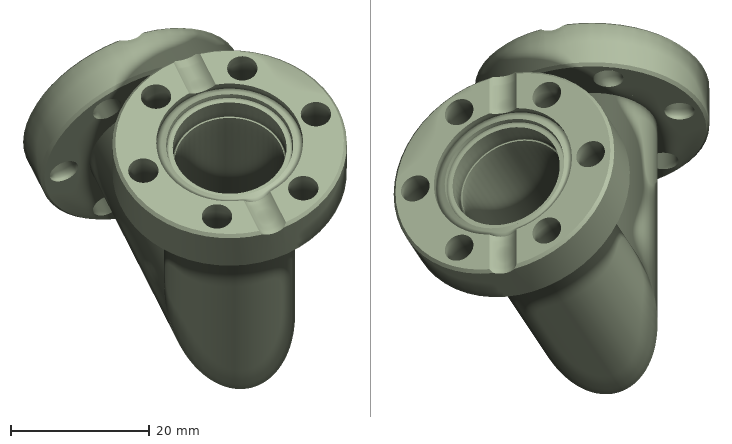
import cadquery as cq


OVERALL_LENGTH = 55.0
FLANGE_DIAMETER = 34.0
FLANGE_THICKNESS = 7.55
FACE_DISTANCE = OVERALL_LENGTH - FLANGE_DIAMETER / 2
FLANGE_BACK = FACE_DISTANCE - FLANGE_THICKNESS
EDGE_CHAMFER = 0.45

BOLT_COUNT = 6
BOLT_CIRCLE_DIAMETER = 27.0
BOLT_HOLE_DIAMETER = 4.4

GROOVE_WIDTH = 4.2
GROOVE_DEPTH = 0.95
GROOVE_RADIUS = ((GROOVE_WIDTH / 2) ** 2 + GROOVE_DEPTH ** 2) / (2 * GROOVE_DEPTH)

PIPE_OUTER_DIAMETER = 19.0
PIPE_BORE_DIAMETER = 16.0
PIPE_END = FACE_DISTANCE - 4.8

INSERT_DIAMETER = 21.3
INSERT_BORE_DIAMETER = 16.5
KNIFE_DIAMETER = 18.4
KNIFE_INNER_DIAMETER = 18.15
RECESS_DEPTH = 1.2
KNIFE_DEPTH = 0.65
SEAT_DEPTH = 1.4


def make_ring():
    """Bolted outer ring of the upper flange, facing +Z."""
    ring = (
        cq.Workplane("XY", origin=(0, 0, FLANGE_BACK))
        .circle(FLANGE_DIAMETER / 2)
        .extrude(FLANGE_THICKNESS)
        .edges()
        .chamfer(EDGE_CHAMFER)
    )
    insert_hole = (
        cq.Workplane("XY", origin=(0, 0, FLANGE_BACK))
        .circle(INSERT_DIAMETER / 2)
        .extrude(FLANGE_THICKNESS)
    )
    bolt_holes = (
        cq.Workplane("XY", origin=(0, 0, FLANGE_BACK))
        .polarArray(BOLT_CIRCLE_DIAMETER / 2, 90, 360, BOLT_COUNT)
        .circle(BOLT_HOLE_DIAMETER / 2)
        .extrude(FLANGE_THICKNESS)
    )
    groove_axis_height = FACE_DISTANCE - GROOVE_DEPTH + GROOVE_RADIUS
    groove = (
        cq.Workplane("YZ", origin=(0, 0, groove_axis_height))
        .circle(GROOVE_RADIUS)
        .extrude(FLANGE_DIAMETER / 2, both=True)
    )
    return ring.cut(insert_hole).cut(bolt_holes).cut(groove)


def make_insert():
    """Knife-edge insert inside the ring, with a socket at the back for the pipe end."""
    profile = [
        (PIPE_OUTER_DIAMETER / 2, FLANGE_BACK),
        (INSERT_DIAMETER / 2, FLANGE_BACK),
        (INSERT_DIAMETER / 2, FACE_DISTANCE - RECESS_DEPTH),
        (KNIFE_DIAMETER / 2, FACE_DISTANCE - KNIFE_DEPTH),
        (KNIFE_INNER_DIAMETER / 2, FACE_DISTANCE - SEAT_DEPTH),
        (INSERT_BORE_DIAMETER / 2, FACE_DISTANCE - SEAT_DEPTH),
        (INSERT_BORE_DIAMETER / 2, PIPE_END),
        (PIPE_OUTER_DIAMETER / 2, PIPE_END),
    ]
    return cq.Workplane("XZ").polyline(profile).close().revolve(360, (0, 0, 0), (0, 1, 0))


def make_pipe():
    """Upright pipe, cut at 45 degrees where it meets the other arm."""
    radius = PIPE_OUTER_DIAMETER / 2
    tube = (
        cq.Workplane("XY", origin=(0, 0, -radius))
        .circle(radius)
        .circle(PIPE_BORE_DIAMETER / 2)
        .extrude(PIPE_END + radius)
    )
    below_mitre = (
        cq.Workplane("XZ")
        .polyline([(-radius, radius), (radius, -radius), (-radius, -radius)])
        .close()
        .extrude(radius, both=True)
    )
    return tube.cut(below_mitre)


def swing_to_side(body):
    """Turn a body of the upper arm half round the mitre line, onto the -X arm."""
    return body.rotate((0, 0, 0), (-1, 0, 1), 180)


bodies = []
for make_body in (make_ring, make_insert, make_pipe):
    upper_body = make_body()
    bodies.append(upper_body.val())
    bodies.append(swing_to_side(upper_body).val())

result = cq.Compound.makeCompound(bodies)